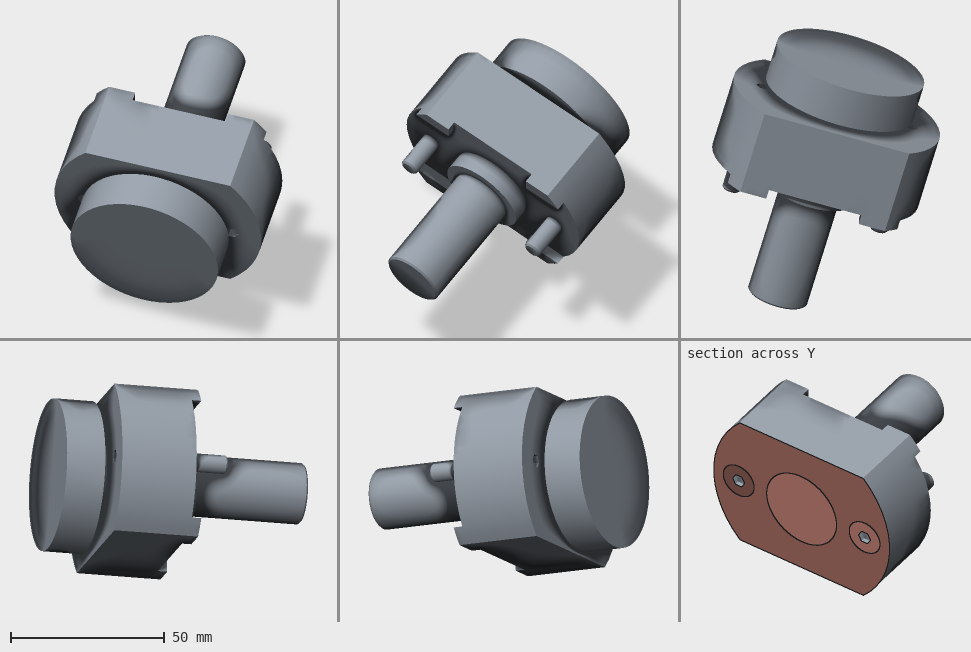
import cadquery as cq
import math

disc_length = 12.8
housing_front = 16.0
housing_back = 41.0
feet_back = 44.1
journal_back = 47.1
screw_end = 53.5
spindle_end = 85.0

disc_diameter = 50.0
neck_diameter = 30.0
journal_diameter = 28.0
shaft_diameter = 20.1
shaft_chamfer = 0.6

housing_diameter = 70.0
housing_height = disc_diameter
foot_height = 5.0
feet_gap = 31.45

screw_offset = disc_diameter / 2
screw_diameter = 6.0
screw_chamfer = 0.6
head_diameter = 12.0
head_length = screw_diameter
socket_flats = 4.0
socket_depth = head_length / 2


def rod(diameter, y_start, y_end, x=0):
    """Cylinder parallel to Y between two positions."""
    plane = cq.Plane(origin=(x, y_start, 0), xDir=(1, 0, 0), normal=(0, 1, 0))
    return cq.Workplane(plane).circle(diameter / 2).extrude(y_end - y_start)


def block(width, height, y_start, y_end):
    """Box centred on the Y axis between two positions."""
    length = y_end - y_start
    return cq.Workplane("XY").box(width, length, height).translate((0, y_start + length / 2, 0))


def make_spindle():
    """Turned disc, neck, journal and drive shaft in one piece."""
    disc = rod(disc_diameter, 0, disc_length)
    neck = rod(neck_diameter, disc_length, housing_front)
    journal = rod(journal_diameter, housing_front, journal_back)
    shaft = rod(shaft_diameter, journal_back, spindle_end).faces(">Y").chamfer(shaft_chamfer)
    return disc.union(neck).union(journal).union(shaft)


def make_housing():
    """Round housing with two flats, four corner feet, a bore and screw holes."""
    body = rod(housing_diameter, housing_front, feet_back)
    body = body.intersect(block(housing_diameter, housing_height, housing_front, feet_back))

    side_channel = block(housing_diameter, housing_height - 2 * foot_height, housing_back, feet_back)
    upright_channel = block(feet_gap, housing_height, housing_back, feet_back)
    body = body.cut(side_channel).cut(upright_channel)

    body = body.cut(rod(journal_diameter, housing_front, housing_back))
    for x in (-screw_offset, screw_offset):
        body = body.cut(rod(screw_diameter, housing_front, housing_back, x))
        body = body.cut(rod(head_diameter, housing_front, housing_front + head_length, x))
    return body


def make_screw(x):
    """Socket head cap screw with its head flush with the housing front."""
    head_back = housing_front + head_length
    head = rod(head_diameter, housing_front, head_back, x)
    shank = rod(screw_diameter, head_back, screw_end, x).faces(">Y").chamfer(screw_chamfer)
    socket_corners = socket_flats / math.cos(math.pi / 6)
    socket_plane = cq.Plane(origin=(x, housing_front, 0), xDir=(1, 0, 0), normal=(0, 1, 0))
    socket = cq.Workplane(socket_plane).polygon(6, socket_corners).extrude(socket_depth)
    return head.union(shank).cut(socket)


spindle = make_spindle()
housing = make_housing()
screws = []
for screw_x in (-screw_offset, screw_offset):
    screws.append(make_screw(screw_x).solids().val())

result = cq.Compound.makeCompound([spindle.solids().val(), housing.solids().val(), *screws])